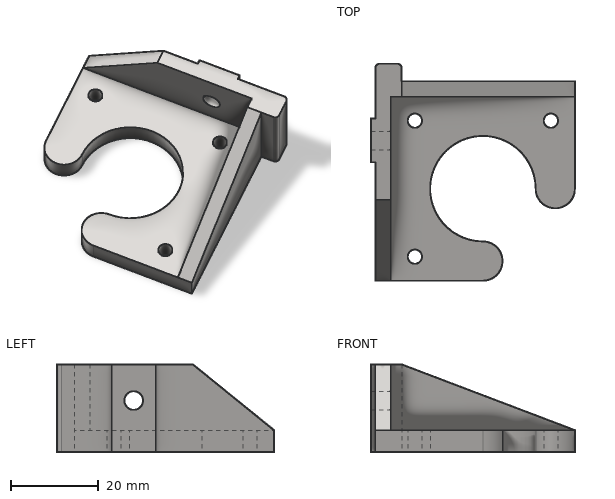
import cadquery as cq
import math


plate_half = 21.0
plate_thickness = 5.0
opening_radius = 12.0
screw_hole_offset = 15.5
screw_hole_diameter = 3.2

wall_thickness = 3.5
wall_height = 20.0
side_wall_slope_start = -2.5
back_wall_slope_start = -18.5

block_width = 6.0
block_depth = 4.0
block_fillet = 1.0

pad_thickness = 1.0
pad_width = 10.0
pad_center_y = 11.0
cross_hole_diameter = 4.2
cross_hole_z = 11.75

wall_outer = plate_half + wall_thickness
arm_radius = (plate_half - opening_radius) / 2
arm_center = opening_radius + arm_radius


def box(x_min, x_max, y_min, y_max, height):
    """Box standing on the underside plane."""
    return cq.Workplane("XY").box(
        x_max - x_min, y_max - y_min, height, centered=False
    ).translate((x_min, y_min, 0))


def make_plate():
    """Plate whose two round-ended arms hug three quarters of the opening."""
    opening_far_point = opening_radius * math.cos(math.radians(45))
    outline = (
        cq.Workplane("XY")
        .moveTo(-wall_outer, -plate_half)
        .lineTo(0, -plate_half)
        .threePointArc((arm_radius, -arm_center), (0, -opening_radius))
        .threePointArc((-opening_far_point, opening_far_point), (opening_radius, 0))
        .threePointArc((arm_center, -arm_radius), (plate_half, 0))
        .lineTo(plate_half, wall_outer)
        .lineTo(-wall_outer, wall_outer)
        .close()
    )
    return outline.extrude(plate_thickness)


def make_side_wall():
    """Wall along the -X edge, sloping down to the plate at its -Y end."""
    return (
        cq.Workplane("YZ", origin=(-wall_outer, 0, 0))
        .moveTo(-plate_half, 0)
        .lineTo(wall_outer, 0)
        .lineTo(wall_outer, wall_height)
        .lineTo(side_wall_slope_start, wall_height)
        .lineTo(-plate_half, plate_thickness)
        .close()
        .extrude(wall_thickness)
    )


def make_back_wall():
    """Wall along the +Y edge, sloping down to the plate at its +X end."""
    return (
        cq.Workplane("XZ", origin=(0, wall_outer, 0))
        .moveTo(-wall_outer, 0)
        .lineTo(plate_half, 0)
        .lineTo(plate_half, plate_thickness)
        .lineTo(back_wall_slope_start, wall_height)
        .lineTo(-wall_outer, wall_height)
        .close()
        .extrude(wall_thickness)
    )


def make_corner_block():
    """Block behind the wall corner, with rounded outer vertical edges."""
    block = box(
        -wall_outer, -wall_outer + block_width,
        plate_half, wall_outer + block_depth,
        wall_height,
    )
    return block.edges("|Z and >Y").fillet(block_fillet)


def make_pad():
    """Full-height pad standing proud of the side wall."""
    return box(
        -wall_outer - pad_thickness, -plate_half,
        pad_center_y - pad_width / 2, pad_center_y + pad_width / 2,
        wall_height,
    )


def make_screw_holes():
    """Three vertical holes, one in each plate corner that is not cut away."""
    centers = [
        (-screw_hole_offset, screw_hole_offset),
        (screw_hole_offset, screw_hole_offset),
        (-screw_hole_offset, -screw_hole_offset),
    ]
    return (
        cq.Workplane("XY")
        .pushPoints(centers)
        .circle(screw_hole_diameter / 2)
        .extrude(plate_thickness)
    )


def make_cross_hole():
    """Hole along X through the pad and the side wall."""
    return (
        cq.Workplane("YZ", origin=(-wall_outer - pad_thickness, 0, 0))
        .center(pad_center_y, cross_hole_z)
        .circle(cross_hole_diameter / 2)
        .extrude(pad_thickness + wall_thickness)
    )


body = (
    make_plate()
    .union(make_side_wall())
    .union(make_back_wall())
    .union(make_corner_block())
    .union(make_pad())
    .clean()
)
result = body.cut(make_screw_holes()).cut(make_cross_hole())